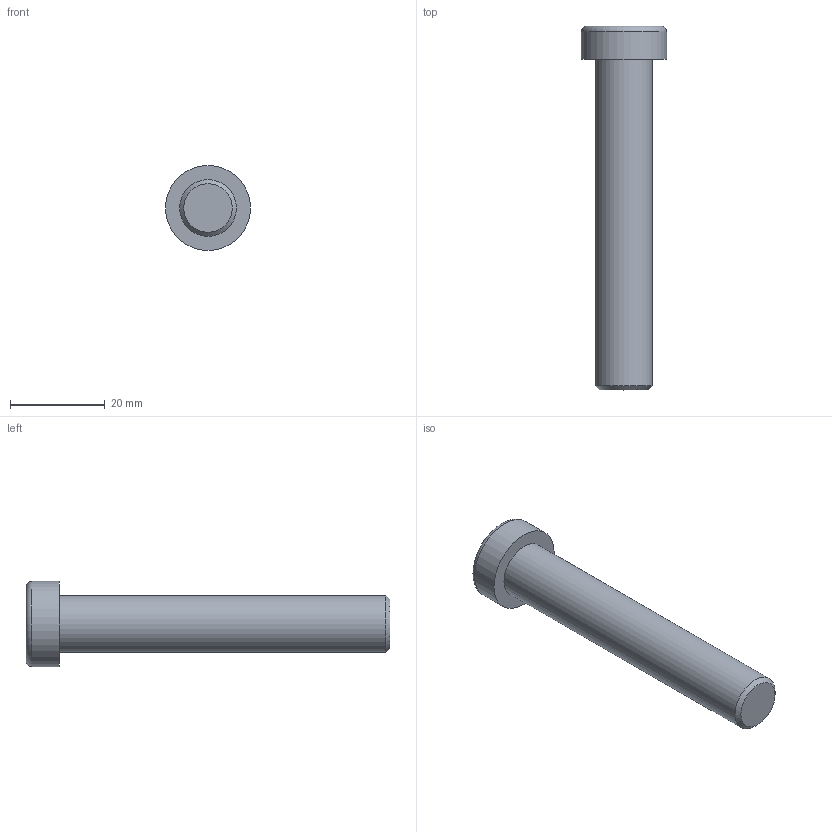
import cadquery as cq

shank_diameter = 12.0
shank_length = 70.0
tip_chamfer = 0.88
head_diameter = 18.0
head_height = 7.0
head_edge_radius = 1.2


def make_shank():
    """Round shank running from the head seat at Y = 0 to a chamfered tip at -Y."""
    shank = cq.Workplane("XZ").circle(shank_diameter / 2).extrude(shank_length)
    return shank.faces("<Y").chamfer(tip_chamfer)


def make_head():
    """Cylindrical head on the +Y side of the seat, with a rounded outer edge."""
    head = cq.Workplane("XZ").circle(head_diameter / 2).extrude(-head_height)
    return head.faces(">Y").edges().fillet(head_edge_radius)


result = make_shank().union(make_head())